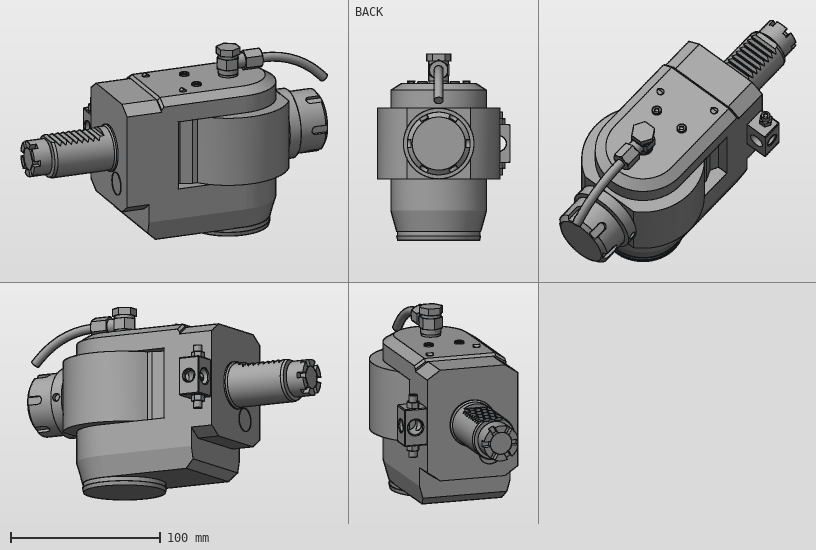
import cadquery as cq
import math


body_half_width = 32.0
body_top = 40.3
body_bottom = -59.0
spindle_y = 86.2
roof_chamfer_x = 7.2
roof_chamfer_z = 4.5
skirt_top = -45.0
skirt_half_width = 28.2
skirt_face_y = 15.8
skirt_chamfer_y = 6.3
skirt_chamfer_z = 5.6

flange_top = 38.4
flange_bottom = -38.1
flange_depth = 25.0
flange_chamfer_x = 9.0
flange_chamfer_z = 6.0
roof_bevel_y = 1.7
roof_bevel_z = body_top - flange_top
plug_x = 12.5
plug_z = -21.5
plug_radius = 7.8
plug_recess = 0.5

drum_radius = 41.2
drum_half_height = 23.8
drum_face_y = 121.5
pocket_floor_x = 25.1
pocket_floor_front_y = 50.3
pocket_slope = math.radians(22.5)
pocket_deepest_y = 42.5
pocket_step_x = 24.7
pocket_front_y = 37.0

cover_radius = 27.7
cover_lip_radius = 28.2
cover_edge_radius = 27.5
cover_lip_z = -62.0
cover_bottom = -64.8

ring_radius = 23.6
ring_end_y = 129.5
ring_hole_radius = 2.5
ring_hole_depth = 3.3
neck_radius = 18.6
nut_start_y = 130.5
nut_end_y = 151.0
nut_radius = 21.0
nut_edge_y = 2.5
nut_edge_radial = 3.3
nut_slot_width = 5.6
nut_slot_depth = 2.5
nut_slot_end_y = 138.5
slot_count = 6

collar_radius = 16.0
collar_length = 2.2
shank_radius = 15.0
shank_end_y = -45.0
shank_chamfer_radial = 0.7
shank_chamfer_length = 2.0
shank_neck_radius = 9.0
end_nut_start_y = -46.2
end_nut_end_y = -59.0
end_nut_radius = 12.1
end_nut_core_radius = 7.5
end_nut_core_recess = 0.5
end_nut_slot_width = 3.7
end_nut_slot_length = 4.3
rack_flat_z = 12.4
rack_flat_start_y = -7.2
groove_count = 8
groove_depth = 2.2
groove_half_width = 1.7
first_groove_y = -11.7
last_groove_y = -39.7
groove_pitch = (first_groove_y - last_groove_y) / (groove_count - 1)

block_outer_x = -47.9
block_front_y = 0.9
block_half_height = 12.8
block_chamfer = 0.7
bore_x = -40.0
bore_radius = 5.2
inlet_y = 8.7
inlet_radius = 4.1
mouth_chamfer = 0.7
feed_radius = 1.5
feed_depth = 4.3
valve_y = 6.0
valve_hex_size = 8.7
valve_hex_top = 16.7
valve_stem_radius = 2.8
valve_top = 21.2
valve_socket_radius = 1.5
valve_socket_depth = 1.3

elbow_radius = 6.7
elbow_foot_radius = 6.5
elbow_foot_top = 41.8
elbow_hex_flats = 13.9
elbow_hex_bottom = 45.5
elbow_hex_top = 53.0
cap_hex_flats = 14.0
cap_bottom = 55.3
cap_top = 60.0
hose_z = 49.2
outlet_radius = 5.0
hose_nut_start_y = 97.0
hose_nut_end_y = 109.2
hose_nut_flats = 12.1
hose_nut_chamfer = 0.9
hose_radius = 3.0
hose_bend_start_y = 111.2
hose_bend_radius = 58.3
hose_bend_angle = math.radians(45)
hose_tail = 4.5

screw_x = 10.8
screw_y = 59.0
screw_radius = 3.3
screw_height = 1.3
screw_chamfer = 0.5
screw_socket_radius = 1.5
pin_places = [(18.5, 46.0), (-18.6, 34.2)]
pin_radius = 2.4
pin_height = 1.5
ridge_half_width = 2.5

overlap = 1.0


def cylinder_y(radius, start_y, end_y, x=0, z=0):
    """Cylinder along Y between two Y positions."""
    plane = cq.Workplane("XZ", origin=(x, start_y, z))
    return plane.circle(radius).extrude(start_y - end_y)


def cylinder_z(radius, x, y, bottom, top):
    """Upright cylinder between two heights."""
    return cq.Workplane("XY", origin=(x, y, bottom)).circle(radius).extrude(top - bottom)


def hexagon_z(flats, x, y, bottom, top, turn):
    """Upright hexagonal prism, with corners on X turned by an angle in degrees."""
    corners = flats / math.cos(math.pi / 6)
    prism = cq.Workplane("XY").polygon(6, corners).extrude(top - bottom)
    return prism.rotate((0, 0, 0), (0, 0, 1), turn).translate((x, y, bottom))


def revolve_about_y(points):
    """Solid of revolution about Y from (radius, y) points."""
    return cq.Workplane("XY").polyline(points).close().revolve(360, (0, 0, 0), (0, 1, 0))


def housing_half_section():
    """Half outline of the housing as (distance from middle, height) points."""
    return [
        (0, body_top),
        (body_half_width - roof_chamfer_x, body_top),
        (body_half_width, body_top - roof_chamfer_z),
        (body_half_width, skirt_top),
        (skirt_half_width, body_bottom),
        (0, body_bottom),
    ]


def make_housing():
    half = housing_half_section()
    outline = half + [(-x, z) for x, z in reversed(half[1:-1])]
    straight = cq.Workplane("XZ", origin=(0, spindle_y, 0)).polyline(outline).close()
    straight = straight.extrude(spindle_y - skirt_face_y)
    round_end = cq.Workplane("XZ").polyline(half).close().revolve(360, (0, 0, 0), (0, 1, 0))
    housing = straight.union(round_end.translate((0, spindle_y, 0)))

    skirt_corner = (
        cq.Workplane("YZ")
        .moveTo(skirt_face_y, body_bottom)
        .lineTo(skirt_face_y + skirt_chamfer_y, body_bottom)
        .lineTo(skirt_face_y, body_bottom + skirt_chamfer_z)
        .close()
        .extrude(body_half_width, both=True)
    )
    above_flange = cq.Workplane("XY").box(
        2 * body_half_width, flange_depth, body_top, centered=(True, False, False)
    )
    return housing.cut(skirt_corner).cut(above_flange).cut(make_roof_bevel())


def make_roof_bevel():
    """Waste over the front edge of the roof, following the roof outline."""
    waste_top = body_top + overlap
    edge_y = flange_depth + roof_bevel_y
    shoulder = body_half_width - roof_chamfer_x
    eaves = body_top - roof_chamfer_z

    def roof_outline(y, drop):
        points = [
            (-body_half_width, waste_top),
            (-body_half_width, eaves - drop),
            (-shoulder, body_top - drop),
            (shoulder, body_top - drop),
            (body_half_width, eaves - drop),
            (body_half_width, waste_top),
        ]
        return cq.Wire.makePolygon([cq.Vector(x, y, z) for x, z in points], close=True)

    outlines = [roof_outline(flange_depth, roof_bevel_z), roof_outline(edge_y, 0)]
    return cq.Workplane(obj=cq.Solid.makeLoft(outlines, True))


def make_flange():
    """Chamfered block; its lower part ends at the face of the housing skirt."""
    shoulder = body_half_width - flange_chamfer_x
    upper_edge = flange_top - flange_chamfer_z
    lower_edge = flange_bottom + flange_chamfer_z
    outline = [
        (-shoulder, flange_top),
        (shoulder, flange_top),
        (body_half_width, upper_edge),
        (body_half_width, lower_edge),
        (shoulder, flange_bottom),
        (-shoulder, flange_bottom),
        (-body_half_width, lower_edge),
        (-body_half_width, upper_edge),
    ]
    flange = cq.Workplane("XZ").polyline(outline).close().extrude(-flange_depth)
    return flange.cut(cylinder_y(plug_radius, 0, plug_recess, plug_x, plug_z))


def make_pocket(side):
    """Flank pocket running back to the drum: floor, inward slope, rise and front wall."""
    slope_length = pocket_floor_front_y - pocket_deepest_y
    deepest_x = pocket_floor_x - slope_length * math.tan(pocket_slope)
    outline = [
        (pocket_floor_x, spindle_y),
        (pocket_floor_x, pocket_floor_front_y),
        (deepest_x, pocket_deepest_y),
        (pocket_step_x, pocket_front_y),
        (body_half_width, pocket_front_y),
        (body_half_width, spindle_y),
    ]
    section = cq.Workplane("XY").polyline([(side * x, y) for x, y in outline]).close()
    return section.extrude(drum_half_height, both=True)


def make_drum():
    drum = cylinder_z(drum_radius, 0, spindle_y, -drum_half_height, drum_half_height)
    return drum.intersect(
        cq.Workplane("XY").box(
            2 * drum_radius, drum_face_y, 2 * drum_half_height, centered=(True, False, True)
        )
    )


def make_cover():
    profile = [
        (0, body_bottom + overlap),
        (cover_radius, body_bottom + overlap),
        (cover_radius, cover_lip_z),
        (cover_lip_radius, cover_lip_z),
        (cover_edge_radius, cover_bottom),
        (0, cover_bottom),
    ]
    cover = cq.Workplane("XZ").polyline(profile).close().revolve(360, (0, 0, 0), (0, 1, 0))
    return cover.translate((0, spindle_y, 0))


def make_output_spindle():
    profile = [
        (0, drum_face_y - overlap),
        (neck_radius, drum_face_y - overlap),
        (neck_radius, drum_face_y),
        (ring_radius, drum_face_y),
        (ring_radius, ring_end_y),
        (neck_radius, ring_end_y),
        (neck_radius, nut_start_y),
        (nut_radius, nut_start_y),
        (nut_radius, nut_end_y - nut_edge_y),
        (nut_radius - nut_edge_radial, nut_end_y),
        (0, nut_end_y),
    ]
    spindle = revolve_about_y(profile)

    floor = nut_radius - nut_slot_depth
    round_y = nut_slot_end_y + nut_slot_width / 2
    slot = (
        cq.Workplane("YZ", origin=(floor, 0, 0))
        .moveTo(nut_end_y, nut_slot_width / 2)
        .lineTo(round_y, nut_slot_width / 2)
        .threePointArc((nut_slot_end_y, 0), (round_y, -nut_slot_width / 2))
        .lineTo(nut_end_y, -nut_slot_width / 2)
        .close()
        .extrude(2 * nut_slot_depth)
    )
    for i in range(slot_count):
        spindle = spindle.cut(slot.rotate((0, 0, 0), (0, 1, 0), i * 360 / slot_count))

    ring_middle = (drum_face_y + ring_end_y) / 2
    hole = cq.Workplane("YZ", origin=(-ring_radius, ring_middle, 0)).circle(ring_hole_radius)
    return spindle.cut(hole.extrude(ring_hole_depth))


def make_shank():
    profile = [
        (0, overlap),
        (collar_radius, overlap),
        (collar_radius, -collar_length / 2),
        (shank_radius, -collar_length),
        (shank_radius, shank_end_y + shank_chamfer_length),
        (shank_radius - shank_chamfer_radial, shank_end_y),
        (shank_neck_radius, shank_end_y),
        (shank_neck_radius, end_nut_start_y),
        (end_nut_radius, end_nut_start_y),
        (end_nut_radius, end_nut_end_y),
        (0, end_nut_end_y),
    ]
    core_face = cylinder_y(
        end_nut_core_radius, end_nut_end_y, end_nut_end_y + end_nut_core_recess
    )
    return revolve_about_y(profile).cut(make_rack()).cut(make_end_nut_slots()).cut(core_face)


def make_rack():
    """Waste above the flat on the shank, with V grooves between the teeth."""
    waste = cq.Workplane("XY").box(
        2 * shank_radius, rack_flat_start_y - shank_end_y, shank_radius, centered=(True, False, False)
    )
    waste = waste.translate((0, shank_end_y, rack_flat_z))
    for i in range(groove_count):
        groove_y = first_groove_y - i * groove_pitch
        groove = (
            cq.Workplane("YZ")
            .moveTo(groove_y - groove_half_width, rack_flat_z)
            .lineTo(groove_y, rack_flat_z - groove_depth)
            .lineTo(groove_y + groove_half_width, rack_flat_z)
            .close()
            .extrude(shank_radius, both=True)
        )
        waste = waste.union(groove)
    return waste


def make_end_nut_slots():
    slot = cq.Workplane("XY").box(
        end_nut_radius, end_nut_slot_length, end_nut_slot_width, centered=(False, False, True)
    )
    slot = slot.translate((0, end_nut_end_y, 0))
    slots = cq.Workplane("XY")
    for i in range(slot_count):
        slots = slots.add(slot.rotate((0, 0, 0), (0, 1, 0), i * 360 / slot_count))
    core = cylinder_y(end_nut_core_radius, end_nut_end_y, end_nut_end_y + end_nut_slot_length)
    return slots.combine().cut(core)


def make_coolant_block():
    length = skirt_face_y - block_front_y
    width = -body_half_width - block_outer_x
    block = cq.Workplane("XY").box(
        width + overlap, length, 2 * block_half_height, centered=(False, False, True)
    )
    block = block.translate((block_outer_x, block_front_y, 0))
    block = block.edges("(<Y or >Z or <Z) and (not >X) and (not >Y)").chamfer(block_chamfer)
    valve = make_valve()
    return block.union(valve).union(valve.mirror("XY"))


def make_valve():
    """Hexagon and stem standing on the coolant block."""
    flats = valve_hex_size * math.cos(math.pi / 6)
    hexagon = hexagon_z(flats, bore_x, valve_y, block_half_height - overlap, valve_hex_top, 0)
    stem = cylinder_z(valve_stem_radius, bore_x, valve_y, valve_hex_top - overlap, valve_top)
    socket = cylinder_z(valve_socket_radius, bore_x, valve_y, valve_top - valve_socket_depth, valve_top)
    return hexagon.union(stem).cut(socket)


def make_coolant_bores():
    """Through bore along Y, inlet crossing it to the flank and a narrow feed into the housing."""
    bore = cylinder_y(bore_radius, block_front_y, skirt_face_y, bore_x)
    bore_mouth = (
        cq.Workplane("XZ", origin=(bore_x, block_front_y, 0))
        .circle(bore_radius + mouth_chamfer)
        .extrude(-mouth_chamfer, taper=45)
    )
    face = cq.Workplane("YZ", origin=(block_outer_x, inlet_y, 0))
    inlet = face.circle(inlet_radius).extrude(-body_half_width - block_outer_x)
    feed = face.circle(feed_radius).extrude(-body_half_width + feed_depth - block_outer_x)
    inlet_mouth = face.circle(inlet_radius + mouth_chamfer).extrude(mouth_chamfer, taper=45)
    return bore.union(bore_mouth).union(inlet).union(inlet_mouth).union(feed)


def make_elbow():
    foot = cylinder_z(elbow_foot_radius, 0, spindle_y, body_top - overlap, elbow_foot_top + overlap)
    post = cylinder_z(elbow_radius, 0, spindle_y, elbow_foot_top, cap_bottom + overlap)
    hexagon = hexagon_z(elbow_hex_flats, 0, spindle_y, elbow_hex_bottom, elbow_hex_top, 30)
    cap = hexagon_z(cap_hex_flats, 0, spindle_y, cap_bottom, cap_top, 0)
    outlet = cylinder_y(outlet_radius, spindle_y, hose_nut_start_y + overlap, 0, hose_z)
    fitting = foot.union(post).union(hexagon).union(cap).union(outlet)
    return fitting.union(make_hose_nut()).union(make_hose())


def make_hose_nut():
    """Hexagonal nut along Y, with its corners chamfered at the hose end."""
    length = hose_nut_end_y - hose_nut_start_y
    corner_radius = hose_nut_flats / 2 / math.cos(math.pi / 6)
    envelope = cylinder_z(corner_radius, 0, 0, 0, length).faces(">Z").chamfer(hose_nut_chamfer)
    nut = hexagon_z(hose_nut_flats, 0, 0, 0, length, 30).intersect(envelope)
    return nut.rotate((0, 0, 0), (1, 0, 0), -90).translate((0, hose_nut_start_y, hose_z))


def make_hose():
    """Hose leaving the nut straight, bending down and ending in a straight tail."""
    def bend_point(angle):
        y = hose_bend_start_y + hose_bend_radius * math.sin(angle)
        return y, hose_z - hose_bend_radius * (1 - math.cos(angle))

    end_y, end_z = bend_point(hose_bend_angle)
    start_y = hose_nut_end_y - overlap
    path = (
        cq.Workplane("YZ")
        .moveTo(start_y, hose_z)
        .lineTo(hose_bend_start_y, hose_z)
        .threePointArc(bend_point(hose_bend_angle / 2), (end_y, end_z))
        .lineTo(
            end_y + hose_tail * math.cos(hose_bend_angle),
            end_z - hose_tail * math.sin(hose_bend_angle),
        )
    )
    return cq.Workplane("XZ", origin=(0, start_y, hose_z)).circle(hose_radius).sweep(path)


def make_roof_screw(x):
    top = body_top + screw_height
    head = cylinder_z(screw_radius, x, screw_y, body_top - overlap, top)
    head = head.faces(">Z").chamfer(screw_chamfer)
    return head.cut(cylinder_z(screw_socket_radius, x, screw_y, body_top, top))


def make_roof_pin(x, y):
    """Round pin whose head is a ridge along X."""
    ridge = (
        cq.Workplane("YZ")
        .moveTo(-ridge_half_width, -overlap)
        .lineTo(-ridge_half_width, 0)
        .lineTo(0, pin_height)
        .lineTo(ridge_half_width, 0)
        .lineTo(ridge_half_width, -overlap)
        .close()
        .extrude(pin_radius, both=True)
    )
    pin = ridge.intersect(cylinder_z(pin_radius, 0, 0, -overlap, pin_height))
    return pin.translate((x, y, body_top))


result = make_housing().union(make_flange())
for side in (-1, 1):
    result = result.cut(make_pocket(side))
result = result.union(make_drum()).union(make_cover())
result = result.union(make_output_spindle()).union(make_shank())
result = result.union(make_coolant_block()).cut(make_coolant_bores())
result = result.union(make_elbow())
for side in (-1, 1):
    result = result.union(make_roof_screw(side * screw_x))
for pin_x, pin_y in pin_places:
    result = result.union(make_roof_pin(pin_x, pin_y))